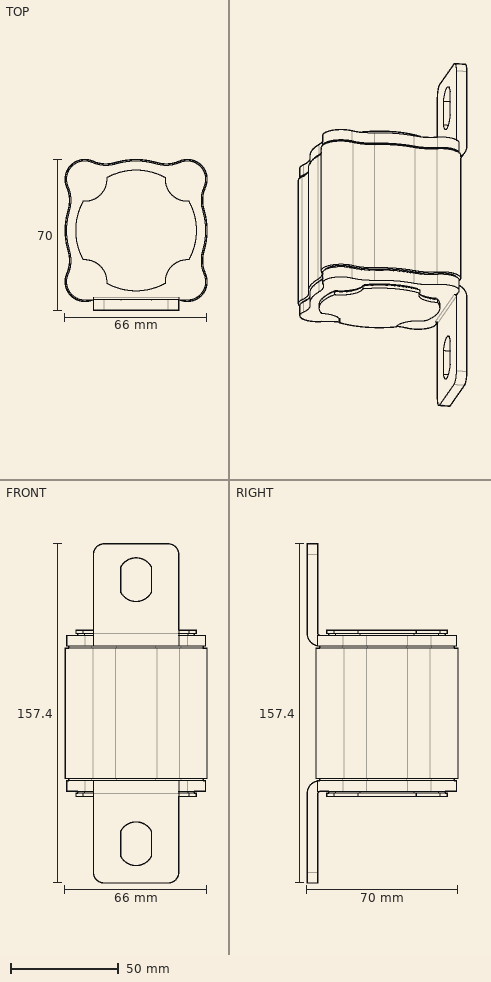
import cadquery as cq
import math

body_radius = 32.98
lobe_offset = 23.8
lobe_radius = body_radius - lobe_offset
blend_radius = 15.0
body_half_height = 30.2

cap_inset = 0.71
groove_inset = 1.7
groove_height = 1.0
cap_thickness = 5.0
cap_bottom = body_half_height + groove_height
cap_top = cap_bottom + cap_thickness

disc_radius = 28.0
disc_top = 38.5
disc_notch_radius = 10.2
disc_step_height = 0.8
disc_step_inset = 1.0

total_half_height = 78.7
tab_width = 39.7
tab_thickness = cap_thickness
tab_front = -37.07
bend_inner_radius = 1.0
bend_outer_radius = bend_inner_radius + tab_thickness
tab_corner_radius = 5.0

upper_hole_height = 62.0
lower_hole_height = 60.5
hole_width = 14.2
hole_length = 20.1
hole_end_radius = 8.0


def blend_contacts(inset):
    """Return the start, lowest point and end of the hollow between the +Y side and the +X+Y column."""
    centre_radius = body_radius - inset
    column_radius = lobe_radius - inset
    hollow_radius = blend_radius + inset
    to_hollow = centre_radius + hollow_radius
    to_column = lobe_offset * math.sqrt(2)
    column_to_hollow = column_radius + hollow_radius
    cosine = (to_hollow**2 + to_column**2 - column_to_hollow**2) / (2 * to_hollow * to_column)
    angle = math.pi / 4 + math.acos(cosine)
    hollow_x = to_hollow * math.cos(angle)
    hollow_y = to_hollow * math.sin(angle)
    centre_share = centre_radius / to_hollow
    on_centre = (hollow_x * centre_share, hollow_y * centre_share)
    column_share = column_radius / column_to_hollow
    on_column = (
        lobe_offset + (hollow_x - lobe_offset) * column_share,
        lobe_offset + (hollow_y - lobe_offset) * column_share,
    )
    lowest = (hollow_x, hollow_y - hollow_radius)
    return on_centre, lowest, on_column


def quarter_turns(point, turns):
    """Turn a point clockwise about the origin by a number of right angles."""
    x, y = point
    for _ in range(turns):
        x, y = y, -x
    return x, y


def lobed_prism(inset, bottom, top):
    """Extrude the lobed outline, shrunk by inset, from bottom to top."""
    on_centre, lowest, on_column = blend_contacts(inset)
    corner = lobe_offset + (lobe_radius - inset) / math.sqrt(2)
    arcs = (
        ((0, body_radius - inset), on_centre),
        (lowest, on_column),
        ((corner, corner), on_column[::-1]),
        (lowest[::-1], on_centre[::-1]),
    )
    outline = cq.Workplane("XY").workplane(offset=bottom).moveTo(-on_centre[0], on_centre[1])
    for side in range(4):
        for middle, end in arcs:
            outline = outline.threePointArc(quarter_turns(middle, side), quarter_turns(end, side))
    return outline.close().extrude(top - bottom)


def notched_disc(inset, bottom, top):
    """Make the round disc with a circular notch around each corner column."""
    height = top - bottom
    plane = cq.Workplane("XY").workplane(offset=bottom)
    disc = plane.circle(disc_radius - inset).extrude(height)
    side = 2 * lobe_offset
    notches = plane.rect(side, side, forConstruction=True).vertices()
    return disc.cut(notches.circle(disc_notch_radius + inset).extrude(height))


def fixing_hole(hole_height):
    half_width = hole_width / 2
    half_length = hole_length / 2
    end_rise = hole_end_radius - math.sqrt(hole_end_radius**2 - half_width**2)
    straight_top = hole_height + half_length - end_rise
    straight_bottom = hole_height - half_length + end_rise
    return (
        cq.Workplane("XZ", origin=(0, tab_front + tab_thickness, 0))
        .moveTo(-half_width, straight_bottom)
        .lineTo(-half_width, straight_top)
        .threePointArc((0, hole_height + half_length), (half_width, straight_top))
        .lineTo(half_width, straight_bottom)
        .threePointArc((0, hole_height - half_length), (-half_width, straight_bottom))
        .close()
        .extrude(tab_thickness)
    )


def terminal_tab(hole_height):
    """Make a tab for the upper end: a foot inside the cap, a right-angle bend and an upright plate."""
    tab_back = tab_front + tab_thickness
    bend_start = tab_front + bend_outer_radius
    bend_end = cap_bottom + bend_outer_radius
    diagonal = 1 / math.sqrt(2)
    outer_middle = (bend_start - bend_outer_radius * diagonal, bend_end - bend_outer_radius * diagonal)
    inner_middle = (bend_start - bend_inner_radius * diagonal, bend_end - bend_inner_radius * diagonal)
    tab = (
        cq.Workplane("YZ")
        .moveTo(0, cap_bottom)
        .lineTo(bend_start, cap_bottom)
        .threePointArc(outer_middle, (tab_front, bend_end))
        .lineTo(tab_front, total_half_height)
        .lineTo(tab_back, total_half_height)
        .lineTo(tab_back, bend_end)
        .threePointArc(inner_middle, (bend_start, cap_top))
        .lineTo(0, cap_top)
        .close()
        .extrude(tab_width / 2, both=True)
    )
    tab = tab.faces(">Z").edges("|Y").fillet(tab_corner_radius)
    return tab.cut(fixing_hole(hole_height))


def cap():
    """Make the lobed cap, its -Y side filled out flat between the columns and slotted for the tab bend."""
    flat_depth = lobe_radius - cap_inset
    flat_side = (
        cq.Workplane("XY", origin=(0, -lobe_offset - flat_depth / 2, cap_bottom))
        .rect(2 * lobe_offset, flat_depth)
        .extrude(cap_thickness)
    )
    bend_slot = (
        cq.Workplane("XY", origin=(0, tab_front + bend_outer_radius / 2, cap_bottom))
        .rect(tab_width, bend_outer_radius)
        .extrude(cap_thickness)
    )
    return lobed_prism(cap_inset, cap_bottom, cap_top).union(flat_side).cut(bend_slot)


def end_assembly(hole_height):
    """Make everything above the body: groove, cap, disc and tab."""
    disc_bottom = cap_top + disc_step_height
    return (
        lobed_prism(groove_inset, body_half_height, cap_bottom)
        .union(cap())
        .union(notched_disc(disc_step_inset, cap_top, disc_bottom))
        .union(notched_disc(0, disc_bottom, disc_top))
        .union(terminal_tab(hole_height))
    )


body = lobed_prism(0, -body_half_height, body_half_height)
upper_end = end_assembly(upper_hole_height)
lower_end = end_assembly(lower_hole_height).mirror("XY")
result = body.union(upper_end).union(lower_end)